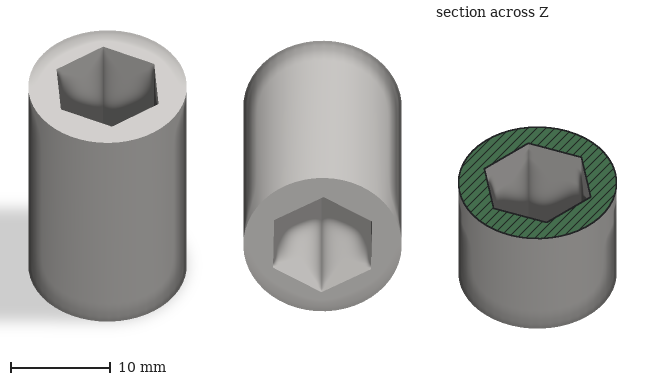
import cadquery as cq
import math

height = 25.4
outer_diameter = 15.88
bore_across_flats = 9.8
hexagon_sides = 6
bore_across_corners = bore_across_flats / math.cos(math.pi / hexagon_sides)

sleeve = cq.Workplane("XY").circle(outer_diameter / 2).extrude(height)

bore = cq.Workplane("XY").polygon(hexagon_sides, bore_across_corners).extrude(height)

result = sleeve.cut(bore)